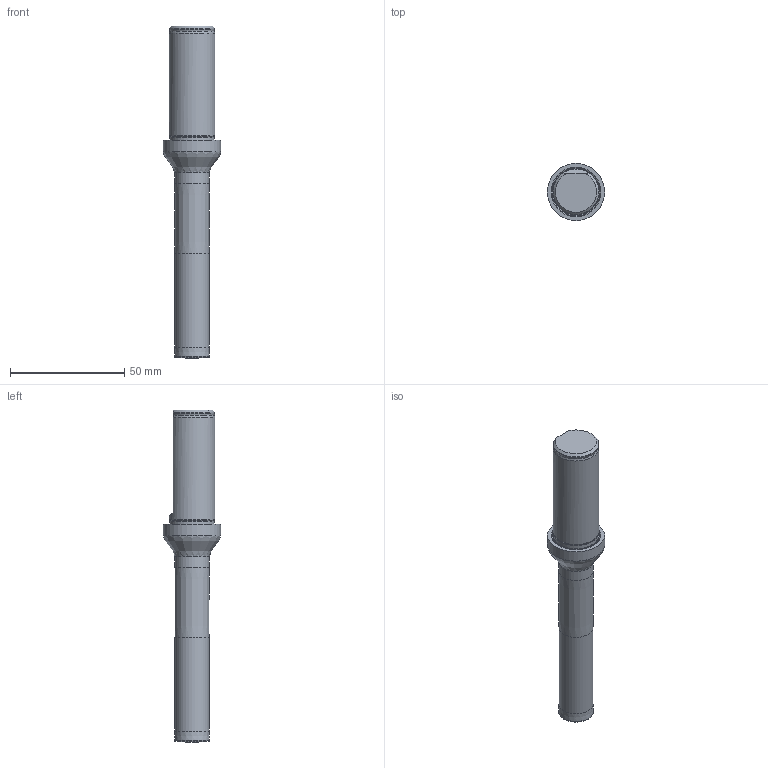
import cadquery as cq
import math


shank_diameter = 19.99
shank_length = 50.0
end_chamfer = 1.0
shank_flat_offset = 8.2
shank_flat_end = 5.45

ring_groove_diameter = 19.5
ring_groove_start = 1.4
ring_groove_width = 1.8

undercut_top = 2.1
undercut_face_diameter = 21.7
undercut_slope_length = 0.4
undercut_arc_length = 0.4
undercut_slope_angle = 30.0

flange_diameter = 25.0
flange_thickness = 5.0
flare_height = 9.0

neck_diameter = 15.23
cutting_length_ratio = 3
neck_end = -18.8
body_diameter = 14.9
drill_length = 95.0
cutting_length = cutting_length_ratio * neck_diameter
head_length = 4.8
head_rim_height = 0.4
head_rim_inset = 0.1
tip_height = 0.4
tip_diameter = 5.6

shank_radius = shank_diameter / 2
ring_groove_radius = ring_groove_diameter / 2
undercut_face_radius = undercut_face_diameter / 2
flange_radius = flange_diameter / 2
neck_radius = neck_diameter / 2
tip_radius = tip_diameter / 2
body_radius = body_diameter / 2
tip_z = -drill_length
head_top = tip_z + head_length
head_bottom = tip_z + tip_height
joint_z = tip_z + cutting_length


def undercut_side():
    """Slope end, arc middle and arc end of one undercut side, as (distance from rim, depth)."""
    angle = math.radians(undercut_slope_angle)
    slope_depth = undercut_slope_length * math.tan(angle)
    arc_radius = undercut_arc_length / math.sin(angle)
    full_distance = undercut_slope_length + undercut_arc_length
    full_depth = slope_depth + arc_radius * (1 - math.cos(angle))
    arc_middle = (
        full_distance - arc_radius * math.sin(angle / 2),
        full_depth - arc_radius * (1 - math.cos(angle / 2)),
    )
    return (undercut_slope_length, slope_depth), arc_middle, (full_distance, full_depth)


def make_holder():
    """Shank, flange and upper neck, turned about Z, with a flat on the +Y side of the shank."""
    groove_top = shank_length - ring_groove_start
    groove_middle = groove_top - ring_groove_width / 2
    groove_bottom = groove_top - ring_groove_width

    side = undercut_side()
    shank_slope, shank_arc_middle, shank_arc_end = [
        (shank_radius - depth, undercut_top - distance) for distance, depth in side
    ]
    face_slope, face_arc_middle, face_arc_end = [
        (undercut_face_radius - distance, -depth) for distance, depth in side
    ]
    undercut_corner = (shank_arc_end[0], face_arc_end[1])

    flare_top = -flange_thickness
    flare_step = flare_height / 3
    flare_curve = [
        (flange_radius, flare_top - flare_step),
        (neck_radius, flare_top - 2 * flare_step),
        (neck_radius, flare_top - flare_height),
    ]

    profile = (
        cq.Workplane("XZ")
        .moveTo(0, shank_length)
        .lineTo(shank_radius - end_chamfer, shank_length)
        .lineTo(shank_radius, shank_length - end_chamfer)
        .lineTo(shank_radius, groove_top)
        .lineTo(ring_groove_radius, groove_middle)
        .lineTo(shank_radius, groove_bottom)
        .lineTo(shank_radius, undercut_top)
        .lineTo(*shank_slope)
        .threePointArc(shank_arc_middle, shank_arc_end)
        .lineTo(*undercut_corner)
        .lineTo(*face_arc_end)
        .threePointArc(face_arc_middle, face_slope)
        .lineTo(undercut_face_radius, 0)
        .lineTo(flange_radius, 0)
        .lineTo(flange_radius, flare_top)
        .bezier(flare_curve, includeCurrent=True)
        .lineTo(neck_radius, neck_end)
        .lineTo(body_radius, joint_z)
        .lineTo(0, joint_z)
        .close()
    )
    turned = profile.revolve(360, (0, 0, 0), (0, 1, 0))
    return turned.cut(make_flat_cutter())


def make_flat_cutter():
    """Prism that mills the shank flat and its 45 degree run-out."""
    cutter_reach = flange_radius
    runout = cutter_reach - shank_flat_offset
    return (
        cq.Workplane("YZ")
        .moveTo(shank_flat_offset, shank_length)
        .lineTo(shank_flat_offset, shank_flat_end)
        .lineTo(cutter_reach, shank_flat_end - runout)
        .lineTo(cutter_reach, shank_length)
        .close()
        .extrude(flange_radius, both=True)
    )


def make_cutting_part():
    """Drill body that widens into the head and ends in a shallow blunt cone."""
    profile = (
        cq.Workplane("XZ")
        .moveTo(0, joint_z)
        .lineTo(body_radius, joint_z)
        .lineTo(body_radius, head_top)
        .lineTo(neck_radius, head_bottom + head_rim_height)
        .lineTo(neck_radius - head_rim_inset, head_bottom)
        .lineTo(tip_radius, tip_z)
        .lineTo(0, tip_z)
        .close()
    )
    return profile.revolve(360, (0, 0, 0), (0, 1, 0))


holder = make_holder()
cutting_part = make_cutting_part()

result = cq.Compound.makeCompound([holder.val(), cutting_part.val()])